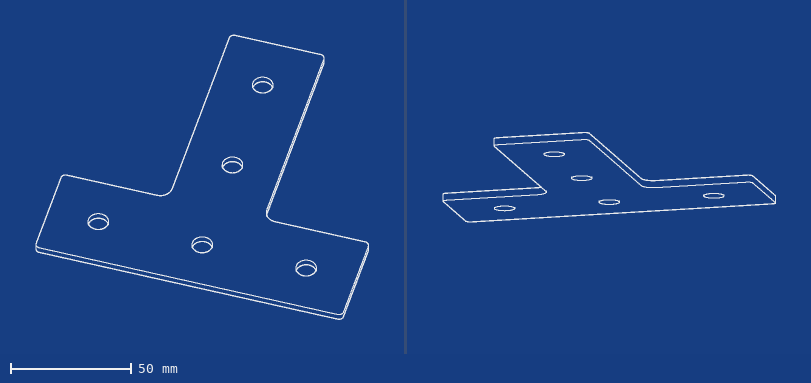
import cadquery as cq

plate_size = 133.0
arm_width = 41.0
thickness = 3.0
hole_diameter = 8.5
hole_pitch = 45.0
outer_corner_radius = 2.0
inner_corner_radius = 5.0

crossbar_center_y = (arm_width - plate_size) / 2

crossbar = cq.Workplane("XY").center(0, crossbar_center_y).rect(plate_size, arm_width).extrude(thickness)
stem = cq.Workplane("XY").rect(arm_width, plate_size).extrude(thickness)
plate = crossbar.union(stem, clean=True)

inner_corner_y = arm_width - plate_size / 2
inside_corners = cq.selectors.BoxSelector(
    (-arm_width, inner_corner_y - outer_corner_radius, 0),
    (arm_width, inner_corner_y + outer_corner_radius, thickness),
)
plate = plate.edges("|Z").edges(inside_corners).fillet(inner_corner_radius)
outside_corners = cq.selectors.StringSyntaxSelector("|Z and (<X or >X or <Y or >Y)")
plate = plate.edges(outside_corners).fillet(outer_corner_radius)

crossbar_holes = [(step * hole_pitch, crossbar_center_y) for step in (-1, 0, 1)]
stem_holes = [(0, crossbar_center_y + step * hole_pitch) for step in (1, 2)]
holes = (
    cq.Workplane("XY")
    .pushPoints(crossbar_holes + stem_holes)
    .circle(hole_diameter / 2)
    .extrude(thickness)
)

result = plate.cut(holes)